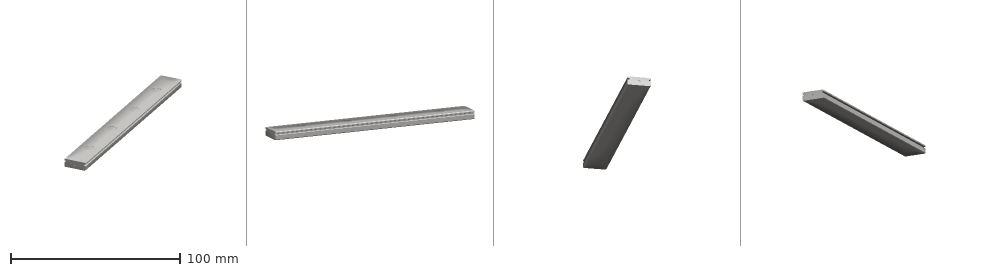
import cadquery as cq

length = 130
width = 14.0
height = 5.2

lip_height = 1.2
groove_height = 0.85
groove_depth = 1.2
groove_corner = 0.1

top_bevel_width = 0.32
top_bevel_height = 0.4
lip_bevel_width = 0.3
lip_bevel_height = 0.2
base_bevel = 0.4

recess_count = 4
recess_pitch = 30.0
recess_diameter = 6.0
recess_depth = 0.1

end_hole_diameter = 1.4
end_hole_depth = 0.4


def rail_body():
    """Bevelled, grooved section, mirrored about the rail's middle and extruded along Y."""
    side = width / 2
    groove_top = height - lip_height
    groove_bottom = groove_top - groove_height
    groove_floor = side - groove_depth
    right_half = [
        (0, 0),
        (side - base_bevel, 0),
        (side, base_bevel),
        (side, groove_bottom - lip_bevel_height),
        (side - lip_bevel_width, groove_bottom),
        (groove_floor, groove_bottom),
        (groove_floor, groove_top - groove_corner),
        (groove_floor + groove_corner, groove_top),
        (side - lip_bevel_width, groove_top),
        (side, groove_top + lip_bevel_height),
        (side, height - top_bevel_height),
        (side - top_bevel_width, height),
        (0, height),
    ]
    section = cq.Workplane("XZ").polyline(right_half).mirrorY()
    return section.extrude(length / 2, both=True)


def top_recesses():
    """Discs that sink the evenly spaced recesses into the top face."""
    return (
        cq.Workplane("XY", origin=(0, 0, height - recess_depth))
        .rarray(1.3, recess_pitch, 1, recess_count)
        .circle(recess_diameter / 2)
        .extrude(recess_depth)
    )


def end_hole():
    """Cylinder that drills the centre hole from the front end, inwards along +Y."""
    return (
        cq.Workplane("XZ", origin=(0, -length / 2, height / 2))
        .circle(end_hole_diameter / 2)
        .extrude(-end_hole_depth)
    )


result = rail_body().cut(top_recesses()).cut(end_hole())